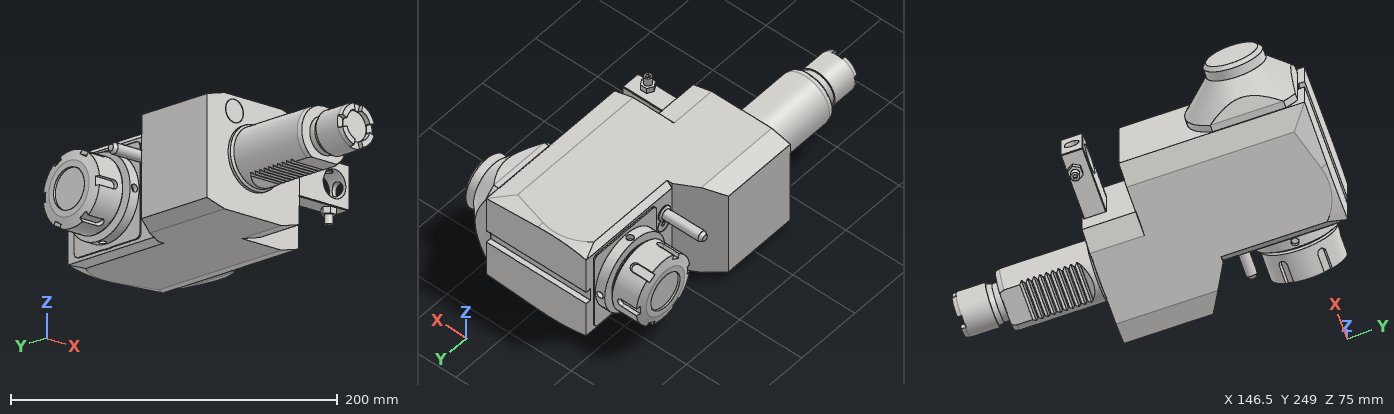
import cadquery as cq
import math


oversize = 298.8

height = 75.0
half_height = height / 2
shank_length = 93.1
total_length = 249.0
back_y = total_length - shank_length
left_x = -39.3
right_x = 38.8
head_left_x = -8.5
head_right_x = 72.0
head_front_y = 35.4
shoulder_y = 75.2
slope_start_y = 58.0
bevel_width = 15.0
bevel_slope = math.tan(math.radians(15))
bevel_drop = bevel_width * bevel_slope
edge_z = half_height - bevel_drop
rear_bevel_length = 12.0
rear_slope = 0.29
rear_upper_tangent_x = 29.6
rear_lower_tangent_x = 33.4
rear_overrun = 25.0
slot_width = 10.0
slot_depth = 4.0
plug_recess = 0.2
plug_radius = 7.5
plug_x = -16.0
plug_z = 27.5

spindle_y = 120.0
pad_length = 58.3
pad_height = 62.5
pad_thickness = 1.0
pad_corner = 3.5
pad_disc_radius = 31.5
ring_radius = 28.5
ring_x = -17.0
neck_radius = 21.7
nut_radius = 25.1
nut_back_x = -19.0
nut_front_x = -41.5
nut_face_radius = 18.0
nut_bevel = 2.0
nut_back_chamfer = 1.2
bore_radius = 13.7
bore_depth = 1.5
key_slot_count = 6
key_slot_width = 6.0
key_slot_end_x = -24.7
key_slot_floor = 22.2
ring_hole_count = 4
ring_hole_radius = 2.5
ring_hole_depth = 3.7

cover_radius = 40.3
cover_rim_x = 76.5
cover_rim_z = 32.5
cover_cone_x = 96.4
cover_end_x = 105.0
cover_end_radius = 19.5
cover_end_chamfer = 2.5
cover_flat_y = 151.5

pin_y = 83.0
pin_z = 17.7
pin_radius = 3.7
pin_tip = 2.5
pin_tip_radius = 2.2
pin_collar_radius = 5.5
pin_collar_length = 1.7
pin_collar_rim = 0.7
screw_z = 7.7
screw_radius = 5.5
screw_recess = 0.2
screw_socket = 3.5
screw_socket_depth = 2.5

bar_end_x = 82.5
bar_front_y = 1.2
bar_back_y = 16.0
bar_height = 29.5
bar_chamfer = 0.5
bar_hole_x = 69.7
bar_hole_radius = 9.5
stud_y = 6.5
stud_radius = 2.7
stud_tip_z = 25.1
bar_side_hole_radius = 4.7
stud_inner_z = 8.7
nut_width = 10.0
nut_height = 4.2
stud_socket = 3.0
stud_socket_depth = 2.5

collar_radius = 21.5
collar_length = 2.0
shank_radius = 20.0
collar_taper_end = 3.5
shank_end = 63.0
shank_chamfer_length = 3.2
shank_chamfer = 0.7
drive_neck_radius = 12.5
drive_neck_end = 67.5
drive_cone_radius = 13.7
drive_start = 71.0
drive_radius = 14.7
drive_taper_start = 90.1
drive_tip_radius = 14.0
drive_recess_radius = 10.0
drive_recess_depth = 3.7
claw_slot_depth = 3.2
claw_slot_inner = 5.5
claw_slot_outer = 8.5
claw_slot_count = 4
rack_flat_z = -16.0
rack_start = 6.2
rack_pitch = 4.0
rack_first = 12.0
rack_count = 10
rack_depth = 1.5
rack_groove_width = 3.2


def turned_y(points):
    """Solid of revolution about the Y axis from (radius, y) points."""
    return cq.Workplane("XY").polyline(points).close().revolve(360, (0, 0), (0, 1))


def turned_x(points, y, z=0):
    """Solid of revolution from (x, radius) points about an axis parallel to X."""
    body = cq.Workplane("XY").polyline(points).close().revolve(360, (0, 0), (1, 0))
    return body.translate((0, y, z))


def beveled_block(x_left, x_right, left_bevel, y_start, y_end):
    """Block along Y whose four long edges are bevelled."""
    upper = [
        (x_left, edge_z),
        (x_left + left_bevel, half_height),
        (x_right - bevel_width, half_height),
        (x_right, edge_z),
    ]
    lower = [(x, -z) for x, z in reversed(upper)]
    block = cq.Workplane("XZ").polyline(upper + lower).close().extrude(y_start - y_end)
    return block.translate((0, y_start, 0))


def rear_bevel():
    """Cutter for the curved bevel along the upper rear edge: a ruled surface between two outlines."""

    def outline(plane, x_left, x_right, y, tangent_x):
        tangent_y = y + (x_right - tangent_x) * rear_slope
        return (
            plane.moveTo(x_right + rear_overrun, y + rear_overrun)
            .lineTo(x_right + rear_overrun, y - rear_overrun * rear_slope)
            .lineTo(tangent_x, tangent_y)
            .tangentArcPoint((x_left, y), relative=False)
            .lineTo(x_left - rear_overrun, y - rear_overrun)
            .lineTo(x_left - rear_overrun, y + rear_overrun)
            .close()
        )

    lower_plane = cq.Workplane("XY").workplane(offset=edge_z)
    lower = outline(lower_plane, head_left_x, head_right_x, back_y, rear_lower_tangent_x)
    return outline(
        lower.workplane(offset=bevel_drop),
        head_left_x + bevel_drop,
        head_right_x - bevel_width,
        back_y - rear_bevel_length,
        rear_upper_tangent_x,
    ).loft(ruled=True)


def make_housing():
    front = beveled_block(left_x, right_x, bevel_width, 0, shoulder_y)
    corner = [(left_x, slope_start_y), (head_left_x, shoulder_y), (left_x, shoulder_y)]
    front = front.cut(cq.Workplane("XY").polyline(corner).close().extrude(half_height, both=True))

    head = beveled_block(head_left_x, head_right_x, bevel_drop, head_front_y, back_y)
    bevel = rear_bevel()
    head = head.cut(bevel).cut(bevel.mirror("XY"))

    slot = cq.Workplane("XY").box(oversize, 2 * slot_depth, slot_width).translate((0, back_y, 0))
    plug = cq.Workplane("XZ").center(plug_x, plug_z).circle(plug_radius).extrude(-plug_recess)
    return front.union(head).cut(slot).cut(plug)


def make_spindle():
    pad = (
        cq.Workplane("YZ", origin=(head_left_x, spindle_y, 0))
        .rect(pad_length, pad_height)
        .extrude(-pad_thickness)
        .edges("|X")
        .fillet(pad_corner)
    )
    disc = (
        cq.Workplane("YZ", origin=(head_left_x, spindle_y, 0))
        .circle(pad_disc_radius)
        .extrude(-pad_thickness)
        .intersect(cq.Workplane("XY").box(oversize, pad_length, oversize).translate((0, spindle_y, 0)))
    )
    turned = turned_x(
        [
            (head_left_x, 0),
            (head_left_x, ring_radius),
            (ring_x, ring_radius),
            (ring_x, neck_radius),
            (nut_back_x, neck_radius),
            (nut_back_x, nut_radius - nut_back_chamfer),
            (nut_back_x - nut_back_chamfer, nut_radius),
            (nut_front_x + nut_bevel, nut_radius),
            (nut_front_x, nut_face_radius),
            (nut_front_x, bore_radius),
            (nut_front_x + bore_depth, bore_radius),
            (nut_front_x + bore_depth, 0),
        ],
        spindle_y,
    )
    spindle = turned.union(pad).union(disc)

    slot_centre_x = key_slot_end_x - key_slot_width / 2
    slot_length = slot_centre_x - nut_front_x
    key_slot = (
        cq.Workplane("XY", origin=(slot_centre_x, 0, key_slot_floor))
        .circle(key_slot_width / 2)
        .extrude(nut_radius)
        .union(
            cq.Workplane("XY", origin=(slot_centre_x - slot_length / 2, 0, key_slot_floor))
            .rect(slot_length, key_slot_width)
            .extrude(nut_radius)
        )
    )
    for i in range(key_slot_count):
        angle = 90 + i * 360 / key_slot_count
        spindle = spindle.cut(key_slot.rotate((0, 0, 0), (1, 0, 0), angle).translate((0, spindle_y, 0)))

    hole_x = (ring_x + head_left_x - pad_thickness) / 2
    hole = (
        cq.Workplane("XY", origin=(hole_x, 0, ring_radius - ring_hole_depth))
        .circle(ring_hole_radius)
        .extrude(2 * ring_hole_depth)
    )
    for i in range(ring_hole_count):
        angle = i * 360 / ring_hole_count
        spindle = spindle.cut(hole.rotate((0, 0, 0), (1, 0, 0), angle).translate((0, spindle_y, 0)))
    return spindle


def make_cover():
    cover = turned_x(
        [
            (head_right_x, 0),
            (head_right_x, cover_radius),
            (cover_rim_x, cover_radius),
            (cover_cone_x, cover_end_radius),
            (cover_end_x - cover_end_chamfer, cover_end_radius),
            (cover_end_x, cover_end_radius - cover_end_chamfer),
            (cover_end_x, 0),
        ],
        spindle_y,
    )
    end_z = cover_rim_z - (cover_end_x - cover_rim_x) * bevel_slope
    upper = [(head_right_x, cover_rim_z), (cover_rim_x, cover_rim_z), (cover_end_x, end_z)]
    envelope = upper + [(x, -z) for x, z in reversed(upper)]
    return cover.intersect(cq.Workplane("XZ").polyline(envelope).close().extrude(-cover_flat_y))


def make_pin():
    return turned_x(
        [
            (head_left_x, 0),
            (head_left_x, pin_collar_radius),
            (head_left_x - pin_collar_rim, pin_collar_radius),
            (head_left_x - pin_collar_length, pin_radius),
            (nut_front_x + pin_tip, pin_radius),
            (nut_front_x, pin_tip_radius),
            (nut_front_x, 0),
        ],
        pin_y,
        pin_z,
    )


def screw_plug_recess():
    face = cq.Workplane("YZ", origin=(head_left_x, pin_y, screw_z))
    return (
        face.circle(screw_radius)
        .extrude(screw_recess)
        .union(face.polygon(6, screw_socket).extrude(screw_socket_depth))
    )


def make_bar():
    bar = (
        cq.Workplane("XY")
        .box(bar_end_x - right_x, bar_back_y - bar_front_y, bar_height)
        .edges(">X or |X")
        .chamfer(bar_chamfer)
        .translate(((bar_end_x + right_x) / 2, (bar_front_y + bar_back_y) / 2, 0))
    )
    hole = cq.Workplane("XZ").center(bar_hole_x, 0).circle(bar_hole_radius).extrude(-bar_back_y)
    side_hole = (
        cq.Workplane("YZ", origin=(bar_hole_x, (bar_front_y + bar_back_y) / 2, 0))
        .circle(bar_side_hole_radius)
        .extrude(bar_end_x - bar_hole_x)
    )
    bar = bar.cut(hole).cut(side_hole)

    top = cq.Workplane("XY", origin=(bar_hole_x, stud_y, bar_height / 2))
    stud = (
        top.polygon(6, nut_width)
        .extrude(nut_height)
        .union(top.circle(stud_radius).extrude(stud_tip_z - bar_height / 2))
        .union(top.circle(stud_radius).extrude(stud_inner_z - bar_height / 2))
        .faces(">Z")
        .workplane()
        .polygon(6, stud_socket)
        .cutBlind(-stud_socket_depth)
    )
    return bar.union(stud).union(stud.mirror("XY"))


def make_shank():
    shank = turned_y(
        [
            (0, 0),
            (collar_radius, 0),
            (collar_radius, -collar_length),
            (shank_radius, -collar_taper_end),
            (shank_radius, -shank_end + shank_chamfer_length),
            (shank_radius - shank_chamfer, -shank_end),
            (drive_neck_radius, -shank_end),
            (drive_neck_radius, -drive_neck_end),
            (drive_cone_radius, -drive_start),
            (drive_radius, -drive_start),
            (drive_radius, -drive_taper_start),
            (drive_tip_radius, -shank_length),
            (drive_recess_radius, -shank_length),
            (drive_recess_radius, -shank_length + drive_recess_depth),
            (0, -shank_length + drive_recess_depth),
        ]
    )

    inner = claw_slot_inner / 2
    outer = claw_slot_outer / 2
    claw_slot = (
        cq.Workplane("XZ", origin=(0, -shank_length + claw_slot_depth, 0))
        .polyline([(0, inner), (drive_recess_radius, inner), (drive_radius, outer),
                   (drive_radius, -outer), (drive_recess_radius, -inner), (0, -inner)])
        .close()
        .extrude(claw_slot_depth)
    )
    for i in range(claw_slot_count):
        shank = shank.cut(claw_slot.rotate((0, 0, 0), (0, 1, 0), i * 360 / claw_slot_count))

    run_in = shank_radius + rack_flat_z
    flat = [
        (-rack_start, -shank_radius),
        (-rack_start - run_in, rack_flat_z),
        (-shank_end, rack_flat_z),
        (-shank_end, -shank_radius),
    ]
    shank = shank.cut(cq.Workplane("YZ").polyline(flat).close().extrude(shank_radius, both=True))
    for i in range(rack_count):
        y = -rack_first - i * rack_pitch
        groove = [
            (y - rack_groove_width / 2, rack_flat_z),
            (y, rack_flat_z + rack_depth),
            (y + rack_groove_width / 2, rack_flat_z),
        ]
        shank = shank.cut(cq.Workplane("YZ").polyline(groove).close().extrude(shank_radius, both=True))
    return shank


result = make_housing().cut(screw_plug_recess())
for component in (make_spindle(), make_cover(), make_pin(), make_bar(), make_shank()):
    result = result.union(component)